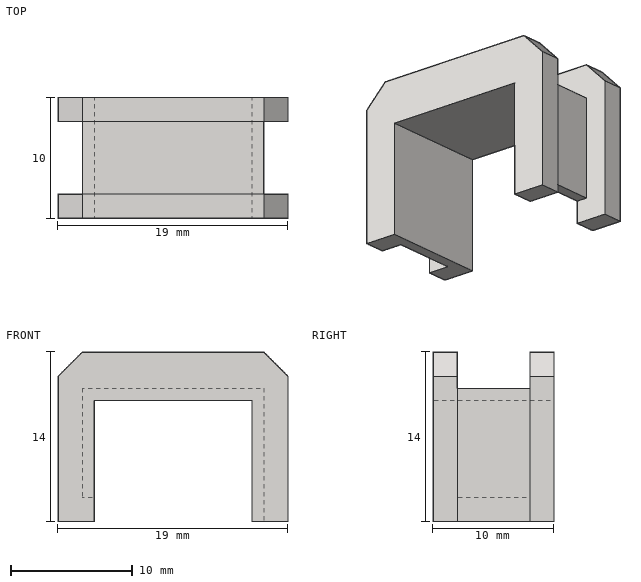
import cadquery as cq

width = 19.0
depth = 10.0
height = 14.0

flange_thickness = 2.0
leg_width = 3.0
opening_height = 10.0
corner_chamfer = 2.0

web_wall = 1.0
left_wall_clearance = 2.0

opening_width = width - 2 * leg_width
web_width = opening_width + 2 * web_wall
web_height = opening_height + web_wall
web_depth = depth - 2 * flange_thickness


def block(x_size, y_size, z_size, x_center=0.0, y_center=0.0):
    """Box standing on Z = 0, centred on the given X and Y."""
    return (
        cq.Workplane("XY")
        .box(x_size, y_size, z_size, centered=(True, True, False))
        .translate((x_center, y_center, 0))
    )


def flange(y_center):
    """Flat arch with its two top corners chamfered."""
    plate = block(width, flange_thickness, height, y_center=y_center)
    plate = plate.faces(">Z").edges("|Y").chamfer(corner_chamfer)
    return plate.cut(block(opening_width, flange_thickness, opening_height, y_center=y_center))


def web():
    """Thin channel lining the opening, with its -X wall stopping short of the feet."""
    channel = block(web_width, web_depth, web_height)
    channel = channel.cut(block(opening_width, web_depth, opening_height))
    left_wall_x = -(opening_width + web_wall) / 2
    return channel.cut(block(web_wall, web_depth, left_wall_clearance, x_center=left_wall_x))


flange_offset = (depth - flange_thickness) / 2
result = web().union(flange(-flange_offset)).union(flange(flange_offset))